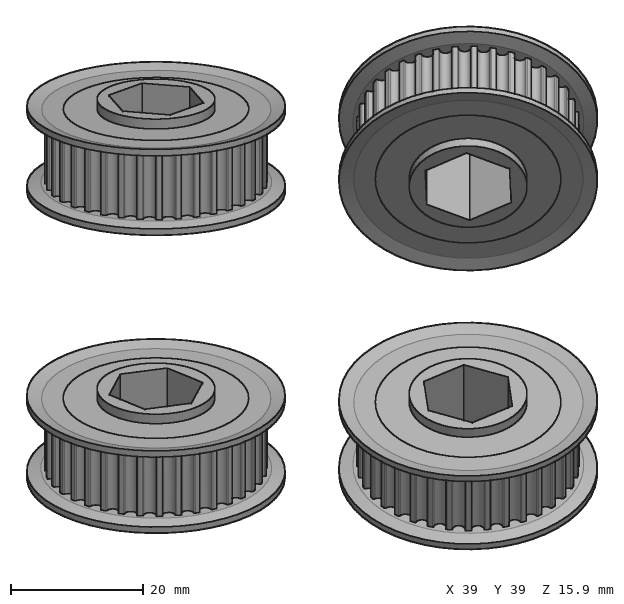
import cadquery as cq
import math

overall_length = 15.875
boss_height = 1.5875
spigot_length = overall_length - 2 * boss_height

boss_diameter = 17.8
spigot_diameter = 28.0
hex_across_flats = 12.75
hex_across_corners = hex_across_flats / math.cos(math.pi / 6)

tooth_count = 36
belt_pitch = 3.0
pitch_line_offset = 0.381
tip_radius = tooth_count * belt_pitch / (2 * math.pi) - pitch_line_offset
groove_depth = 1.2
groove_radius = 0.96
tip_rounding = 0.15

flange_thickness = 1.01
flange_radius = 39.0 / 2
rim_angle = math.radians(14)
outer_bend_radius = 17.3
inner_bend_radius = outer_bend_radius + flange_thickness * math.tan(rim_angle / 2)
outer_rim_rise = (flange_radius - outer_bend_radius) * math.tan(rim_angle)
inner_rim_rise = (flange_radius - inner_bend_radius) * math.tan(rim_angle)
flange_outer_z = spigot_length / 2
flange_inner_z = flange_outer_z - flange_thickness
toothed_length = 2 * flange_inner_z


def polar_point(radius, angle):
    """Point at an angle and distance from the pulley axis."""
    return (radius * math.cos(angle), radius * math.sin(angle))


def toothed_outline():
    """Closed outline of the belt teeth, with one groove centred on +X."""
    pitch_angle = 2 * math.pi / tooth_count
    groove_centre = tip_radius - groove_depth + groove_radius

    rounding_y = groove_radius + tip_rounding
    rounding_x = math.sqrt((tip_radius - tip_rounding) ** 2 - rounding_y**2)
    tip_angle = math.atan2(rounding_y, rounding_x)
    rounding_mid = (math.pi / 2 - tip_angle) / 2
    rounding_mid_x = rounding_x + tip_rounding * math.cos(rounding_mid)
    rounding_mid_y = rounding_y - tip_rounding * math.sin(rounding_mid)

    def groove_point(x, y, groove_angle):
        return polar_point(math.hypot(x, y), math.atan2(y, x) + groove_angle)

    outline = cq.Workplane("XY").workplane(offset=-flange_inner_z)
    outline = outline.moveTo(*polar_point(tip_radius, -tip_angle))
    for index in range(tooth_count):
        angle = index * pitch_angle
        next_angle = angle + pitch_angle
        outline = (
            outline
            .threePointArc(
                groove_point(rounding_mid_x, -rounding_mid_y, angle),
                groove_point(rounding_x, -groove_radius, angle),
            )
            .lineTo(*groove_point(groove_centre, -groove_radius, angle))
            .threePointArc(
                polar_point(groove_centre - groove_radius, angle),
                groove_point(groove_centre, groove_radius, angle),
            )
            .lineTo(*groove_point(rounding_x, groove_radius, angle))
            .threePointArc(
                groove_point(rounding_mid_x, rounding_mid_y, angle),
                polar_point(tip_radius, angle + tip_angle),
            )
            .threePointArc(
                polar_point(tip_radius, angle + pitch_angle / 2),
                polar_point(tip_radius, next_angle - tip_angle),
            )
        )
    return outline.close()


def centred_cylinder(diameter, length):
    return cq.Workplane("XY").circle(diameter / 2).extrude(length / 2, both=True)


def make_pulley():
    """Toothed hub with a flange spigot and a boss at each end, bored to a hexagon."""
    teeth = toothed_outline().extrude(toothed_length)
    spigots = centred_cylinder(spigot_diameter, spigot_length)
    bosses = centred_cylinder(boss_diameter, overall_length)
    hex_bore = cq.Workplane("XY").polygon(6, hex_across_corners).extrude(overall_length / 2, both=True)
    return teeth.union(spigots).union(bosses).cut(hex_bore)


def make_flange(side):
    """Dished ring on a spigot; side is +1 for the top end and -1 for the bottom end."""
    section = [
        (spigot_diameter / 2, side * flange_inner_z),
        (inner_bend_radius, side * flange_inner_z),
        (flange_radius, side * (flange_inner_z + inner_rim_rise)),
        (flange_radius, side * (flange_outer_z + outer_rim_rise)),
        (outer_bend_radius, side * flange_outer_z),
        (spigot_diameter / 2, side * flange_outer_z),
    ]
    return cq.Workplane("XZ").polyline(section).close().revolve(360, (0, 0, 0), (0, 1, 0))


pulley = make_pulley()
flanges = [make_flange(side) for side in (1, -1)]

result = cq.Compound.makeCompound([pulley.val(), *[flange.val() for flange in flanges]])